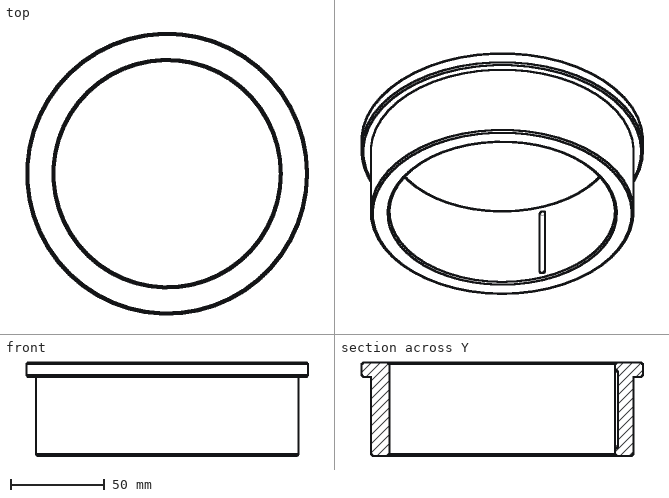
import cadquery as cq

flange_diameter = 150.0
sleeve_diameter = 140.0
bore_diameter = 120.0
height = 50.0
flange_height = 8.0
edge_chamfer = 1.0

groove_width = 3.0
groove_end_gap = 4.0

bore_radius = bore_diameter / 2
sleeve_height = height - flange_height


def make_ring():
    """Sleeve with a flange on top, bored through, with chamfered rims."""
    sleeve = cq.Workplane("XY").circle(sleeve_diameter / 2).extrude(sleeve_height)
    sleeve = sleeve.faces("<Z").edges().chamfer(edge_chamfer)
    flange = (
        cq.Workplane("XY")
        .workplane(offset=sleeve_height)
        .circle(flange_diameter / 2)
        .extrude(flange_height)
        .edges()
        .chamfer(edge_chamfer)
    )
    bore = cq.Workplane("XY").circle(bore_radius).extrude(height)
    ring = sleeve.union(flange).cut(bore)
    return ring.edges(cq.selectors.RadiusNthSelector(0)).chamfer(edge_chamfer)


def make_groove_cutter():
    """Upright round-ended pin centred on the bore surface, leaving a half-round groove."""
    radius = groove_width / 2
    low_centre = groove_end_gap + radius
    high_centre = height - low_centre
    pin = (
        cq.Workplane("XY", origin=(bore_radius, 0, low_centre))
        .circle(radius)
        .extrude(high_centre - low_centre)
    )
    for end_z in (low_centre, high_centre):
        pin = pin.union(cq.Workplane("XY", origin=(bore_radius, 0, end_z)).sphere(radius))
    return pin


result = make_ring().cut(make_groove_cutter())